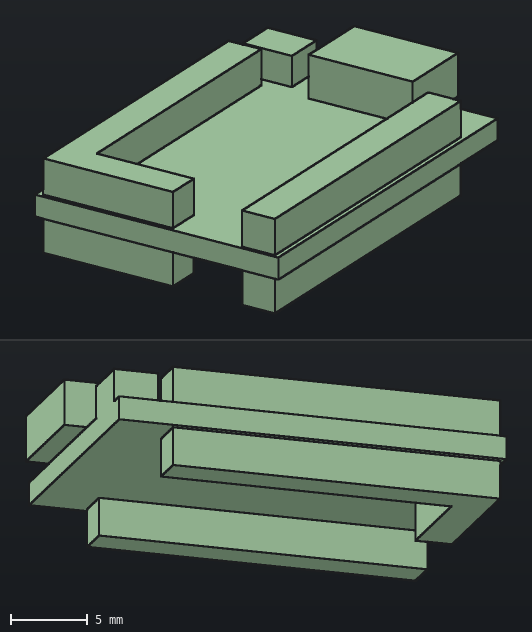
import cadquery as cq

board_width = 18.85
board_length = 26.6
board_thickness = 1.58

header_width = 2.53
header_height = 2.6
header_back_gap = 3.85
left_header_side_gap = 0.48
left_header_front_gap = 0.28
left_header_foot_length = 10.05
right_header_side_gap = 0.4
right_header_front_gap = 0.2

total_length = 28.15
connector_left = 6.75
connector_width = 8.05
connector_length = 5.52
connector_height = 3.12

component_left = 1.05
component_width = 3.8
component_length = 3.0
component_height = 2.22


def block(x, y, z, width, length, height):
    """Box placed by its lowest front left corner."""
    return cq.Workplane("XY").box(width, length, height, centered=False).translate((x, y, z))


def headers(z):
    """L-shaped left header and straight right header, standing at height z."""
    header_back = board_length - header_back_gap
    left_length = header_back - left_header_front_gap
    right_length = header_back - right_header_front_gap
    right_x = board_width - right_header_side_gap - header_width
    left = block(left_header_side_gap, left_header_front_gap, z, header_width, left_length, header_height)
    foot = block(
        left_header_side_gap, left_header_front_gap, z, left_header_foot_length, header_width, header_height
    )
    right = block(right_x, right_header_front_gap, z, header_width, right_length, header_height)
    return left.union(foot).union(right)


board = block(0, 0, 0, board_width, board_length, board_thickness)
connector = block(
    connector_left,
    total_length - connector_length,
    board_thickness,
    connector_width,
    connector_length,
    connector_height,
)
component = block(
    component_left,
    board_length - component_length,
    board_thickness,
    component_width,
    component_length,
    component_height,
)

result = board.union(connector).union(component)
for header_base in (-header_height, board_thickness):
    result = result.union(headers(header_base))